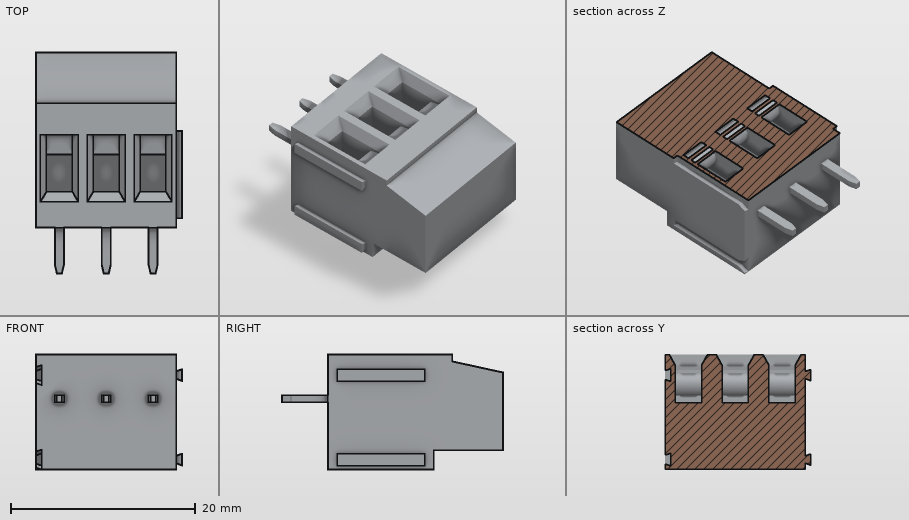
import cadquery as cq

POLES = 3
PITCH = 5.08
OVERLAP = 0.3

BODY_WIDTH = POLES * PITCH
BODY_LENGTH = 19.0
BODY_HEIGHT = 12.5
TOP_STEP_Y = 13.5
TOP_STEP_Z = 11.75
REAR_TOP_Z = 10.55
FOOT_LENGTH = 11.5
FOOT_HEIGHT = 2.1

MOUTH_WIDTH = 4.1
MOUTH_FRONT_Y = 2.8
MOUTH_DEPTH = 1.18
POCKET_WIDTH = 2.8
POCKET_FRONT_Y = 3.9
POCKET_BACK_Y = 10.05
MOUTH_FLOOR_Z = BODY_HEIGHT - MOUTH_DEPTH

PIN_WIDTH = 1.0
PIN_TIP_WIDTH = 0.55
PIN_THICKNESS = 0.8
PIN_LENGTH = 5.0
PIN_TAPER = 0.95
PIN_Z = 7.7
POCKET_FLOOR_Z = PIN_Z - PIN_THICKNESS / 2

PLATE_FRONT_Y = 7.95
PLATE_DROP = 0.49
PLATE_THICKNESS = 0.4
BAR_DIAMETER = 2.5
BAR_FRONT_Y = 7.88
BAR_Z = 9.3

DOVETAIL_HEIGHTS = (1.1, 10.26)
DOVETAIL_DEPTH = 0.6
DOVETAIL_BACK_Y = 10.5
RAIL_FRONT_Y = 1.0
RAIL_ROOT = 0.85
RAIL_TIP = 1.3
GROOVE_OPENING = 0.9
GROOVE_FLOOR = 1.3
GROOVE_FLARE = 0.85
FLARE_LENGTH = 0.9


def make_housing():
    outline = [
        (0, 0),
        (FOOT_LENGTH, 0),
        (FOOT_LENGTH, FOOT_HEIGHT),
        (BODY_LENGTH, FOOT_HEIGHT),
        (BODY_LENGTH, REAR_TOP_Z),
        (TOP_STEP_Y, TOP_STEP_Z),
        (TOP_STEP_Y, BODY_HEIGHT),
        (0, BODY_HEIGHT),
    ]
    return cq.Workplane("YZ").polyline(outline).close().extrude(BODY_WIDTH)


def make_wire_opening(x):
    """Tapered mouth with a vertical back wall, and the pocket below it."""
    mouth_length = POCKET_BACK_Y - MOUTH_FRONT_Y
    pocket_length = POCKET_BACK_Y - POCKET_FRONT_Y
    mouth = (
        cq.Workplane("XY", origin=(x, POCKET_BACK_Y, BODY_HEIGHT))
        .center(0, -mouth_length / 2)
        .rect(MOUTH_WIDTH, mouth_length)
        .workplane(offset=-MOUTH_DEPTH)
        .center(0, (mouth_length - pocket_length) / 2)
        .rect(POCKET_WIDTH, pocket_length)
        .loft(ruled=True)
    )
    pocket = (
        cq.Workplane("XY", origin=(x, POCKET_BACK_Y - pocket_length / 2, POCKET_FLOOR_Z))
        .rect(POCKET_WIDTH, pocket_length)
        .extrude(MOUTH_FLOOR_Z - POCKET_FLOOR_Z)
    )
    return mouth.union(pocket)


def make_clamp(x):
    """Plate sloping down to the front, with a round bar beneath it."""
    plate_front_z = MOUTH_FLOOR_Z - PLATE_DROP
    plate_outline = [
        (POCKET_BACK_Y, MOUTH_FLOOR_Z),
        (PLATE_FRONT_Y, plate_front_z),
        (PLATE_FRONT_Y, plate_front_z - PLATE_THICKNESS),
        (POCKET_BACK_Y, MOUTH_FLOOR_Z - PLATE_THICKNESS),
    ]
    left_wall = cq.Workplane("YZ", origin=(x - POCKET_WIDTH / 2, 0, 0))
    plate = left_wall.polyline(plate_outline).close().extrude(POCKET_WIDTH)
    bar = (
        left_wall.center(BAR_FRONT_Y + BAR_DIAMETER / 2, BAR_Z)
        .circle(BAR_DIAMETER / 2)
        .extrude(POCKET_WIDTH)
    )
    return plate, bar


def make_pin(x):
    outline = [
        (x - PIN_WIDTH / 2, OVERLAP),
        (x - PIN_WIDTH / 2, PIN_TAPER - PIN_LENGTH),
        (x - PIN_TIP_WIDTH / 2, -PIN_LENGTH),
        (x + PIN_TIP_WIDTH / 2, -PIN_LENGTH),
        (x + PIN_WIDTH / 2, PIN_TAPER - PIN_LENGTH),
        (x + PIN_WIDTH / 2, OVERLAP),
    ]
    bottom = cq.Workplane("XY", origin=(0, 0, PIN_Z - PIN_THICKNESS / 2))
    return bottom.polyline(outline).close().extrude(PIN_THICKNESS)


def dovetail_points(face_height, wide_height):
    """Dovetail section, narrow at x = 0 and wide at x = DOVETAIL_DEPTH."""
    return [
        (0, -face_height / 2),
        (DOVETAIL_DEPTH, -wide_height / 2),
        (DOVETAIL_DEPTH, wide_height / 2),
        (0, face_height / 2),
    ]


def make_rail(z):
    return (
        cq.Workplane("XZ", origin=(BODY_WIDTH, DOVETAIL_BACK_Y, z))
        .polyline(dovetail_points(RAIL_ROOT, RAIL_TIP))
        .close()
        .extrude(DOVETAIL_BACK_Y - RAIL_FRONT_Y)
    )


def make_groove(z):
    """Dovetail groove whose front end flares open at the front face."""
    section = dovetail_points(GROOVE_OPENING, GROOVE_FLOOR)
    flared_section = dovetail_points(GROOVE_OPENING + GROOVE_FLARE, GROOVE_FLOOR + GROOVE_FLARE)
    straight = (
        cq.Workplane("XZ", origin=(0, DOVETAIL_BACK_Y, z))
        .polyline(section)
        .close()
        .extrude(DOVETAIL_BACK_Y)
    )
    flare = (
        cq.Workplane("XZ", origin=(0, FLARE_LENGTH, z))
        .polyline(section)
        .close()
        .workplane(offset=FLARE_LENGTH)
        .polyline(flared_section)
        .close()
        .loft(ruled=True)
    )
    return straight.union(flare)


result = make_housing()

for pole in range(POLES):
    pole_x = (pole + 0.5) * PITCH
    result = result.cut(make_wire_opening(pole_x))
    clamp_plate, clamp_bar = make_clamp(pole_x)
    result = result.union(clamp_plate).union(clamp_bar).union(make_pin(pole_x))

for dovetail_z in DOVETAIL_HEIGHTS:
    result = result.cut(make_groove(dovetail_z)).union(make_rail(dovetail_z))